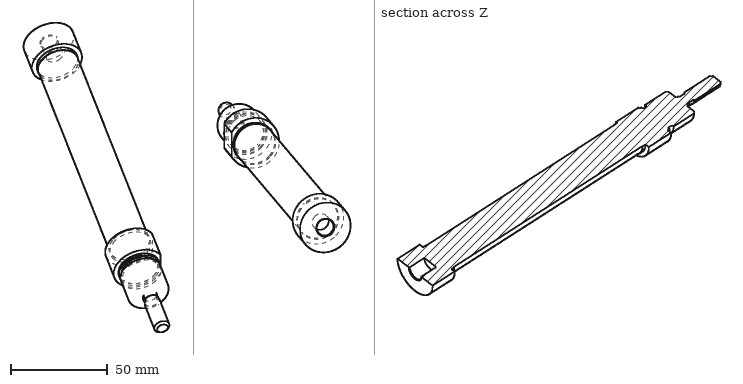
import cadquery as cq

total_length = 211.5
head_radius = 13.5
shoulder_radius = 11.0
tube_radius = 10.8
groove_radius = 9.7
rod_radius = 7.8 / 2
thread_radius = 8.2 / 2

rear_cap_end = 15.7
rear_shoulder_end = 17.5
front_shoulder_start = 149.5
collar_start = 151.5
collar_end = 167.3
groove_start = 168.5
groove_end = 171.0
nose_end = 186.8
thread_start = 191.0

nose_fillet = 2.0
groove_fillet = 0.6
rod_root_fillet = 0.8
thread_chamfer = 1.3

collar_flat_y = 11.8

wrench_flat_y = 3.4
wrench_flat_start = 188.0
wrench_flat_end = 192.3

port_radius = 4.5
port_depth = 10.5
port_chamfer = 0.5


def cylinder(start, end, radius):
    """Solid cylinder on the X axis between two stations."""
    return cq.Workplane("YZ", origin=(start, 0, 0)).circle(radius).extrude(end - start)


def front_collar():
    """Round collar cut flat on its +Y side."""
    length = collar_end - collar_start
    keep = cq.Workplane("XY").box(length, head_radius + collar_flat_y, 2 * head_radius)
    keep = keep.translate(((collar_start + collar_end) / 2, (collar_flat_y - head_radius) / 2, 0))
    return cylinder(collar_start, collar_end, head_radius).intersect(keep)


def front_end():
    """Revolved groove, rounded nose, rod and wider threaded tip, with filleted inside corners."""
    profile = (
        cq.Workplane("XY")
        .moveTo(groove_start, 0)
        .lineTo(groove_start, groove_radius)
        .lineTo(groove_end - groove_fillet, groove_radius)
        .radiusArc((groove_end, groove_radius + groove_fillet), -groove_fillet)
        .lineTo(groove_end, shoulder_radius)
        .lineTo(nose_end - nose_fillet, shoulder_radius)
        .radiusArc((nose_end, shoulder_radius - nose_fillet), nose_fillet)
        .lineTo(nose_end, rod_radius + rod_root_fillet)
        .radiusArc((nose_end + rod_root_fillet, rod_radius), -rod_root_fillet)
        .lineTo(thread_start, rod_radius)
        .lineTo(thread_start, thread_radius)
        .lineTo(total_length - thread_chamfer, thread_radius)
        .lineTo(total_length, thread_radius - thread_chamfer)
        .lineTo(total_length, 0)
        .close()
    )
    return profile.revolve(360, (0, 0, 0), (1, 0, 0))


def wrench_flat_cutter(side):
    """Block removing the rod material outside one wrench flat; side is +1 or -1."""
    depth = thread_radius
    block = cq.Workplane("XY").box(wrench_flat_end - wrench_flat_start, depth, 2 * thread_radius)
    middle = (wrench_flat_start + wrench_flat_end) / 2
    return block.translate((middle, side * (wrench_flat_y + depth / 2), 0))


def rear_port():
    """Blind port with a chamfered mouth."""
    profile = (
        cq.Workplane("XY")
        .lineTo(0, port_radius + port_chamfer)
        .lineTo(port_chamfer, port_radius)
        .lineTo(port_depth, port_radius)
        .lineTo(port_depth, 0)
        .close()
    )
    return profile.revolve(360, (0, 0, 0), (1, 0, 0))


result = cylinder(0, rear_cap_end, head_radius)
result = result.union(cylinder(rear_cap_end, rear_shoulder_end, shoulder_radius))
result = result.union(cylinder(rear_shoulder_end, front_shoulder_start, tube_radius))
result = result.union(cylinder(front_shoulder_start, groove_start, shoulder_radius))
result = result.union(front_collar()).union(front_end())
for side in (1, -1):
    result = result.cut(wrench_flat_cutter(side))
result = result.cut(rear_port())